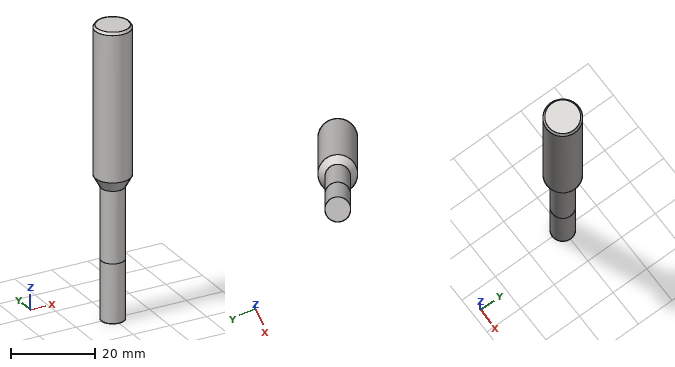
import cadquery as cq

total_length = 77.8
shank_diameter = 9.5
end_chamfer_height = 0.7
end_chamfer_width = 0.5
neck_diameter = 6.15
cutter_diameter = neck_diameter
cutter_length = 15.9
neck_length = 19.2
taper_length = 3.0

shank_radius = shank_diameter / 2
neck_radius = neck_diameter / 2

cutter_bottom = -total_length / 2
neck_bottom = cutter_bottom + cutter_length
taper_bottom = neck_bottom + neck_length
shank_bottom = taper_bottom + taper_length
shank_top = total_length / 2


def make_shank():
    """Shank, taper and neck turned as one body, chamfered at the top end."""
    profile = (
        cq.Workplane("XZ")
        .moveTo(0, neck_bottom)
        .lineTo(neck_radius, neck_bottom)
        .lineTo(neck_radius, taper_bottom)
        .lineTo(shank_radius, shank_bottom)
        .lineTo(shank_radius, shank_top - end_chamfer_height)
        .lineTo(shank_radius - end_chamfer_width, shank_top)
        .lineTo(0, shank_top)
        .close()
    )
    return profile.revolve(360, (0, 0, 0), (0, 1, 0))


def make_cutter():
    """Plain cylindrical cutting section that meets the lower end of the neck."""
    return (
        cq.Workplane("XY", origin=(0, 0, cutter_bottom))
        .circle(cutter_diameter / 2)
        .extrude(cutter_length)
    )


shank = make_shank()
cutter = make_cutter()

result = cq.Compound.makeCompound([shank.val(), cutter.val()])